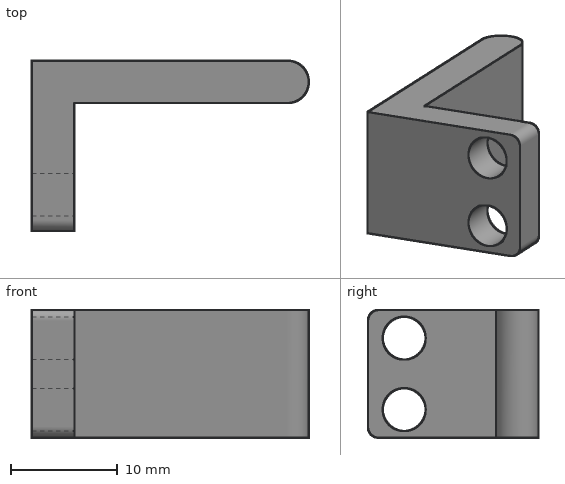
import cadquery as cq

arm_length = 26.0
plate_length = 16.0
height = 12.0
thickness = 4.0
corner_radius = 1.0
hole_diameter = 4.0
hole_spacing = 6.7
hole_edge_distance = 3.4

tip_radius = thickness / 2
tip_start = arm_length - tip_radius
arm_inner_y = plate_length - thickness


def bracket_body():
    """L-shaped profile with a full-round arm tip, extruded along Z."""
    return (
        cq.Workplane("XY")
        .moveTo(0, 0)
        .lineTo(thickness, 0)
        .lineTo(thickness, arm_inner_y)
        .lineTo(tip_start, arm_inner_y)
        .threePointArc((arm_length, arm_inner_y + tip_radius), (tip_start, plate_length))
        .lineTo(0, plate_length)
        .close()
        .extrude(height)
    )


def round_plate_corners(body):
    """Round the two edges along X at the free end of the mounting plate."""
    return body.faces("<Y").edges("|X").fillet(corner_radius)


def mounting_holes():
    """Two cylinders through the plate thickness, placed evenly about mid-height."""
    mid_height = height / 2
    centres = [(hole_edge_distance, mid_height + side * hole_spacing / 2) for side in (-1, 1)]
    return cq.Workplane("YZ").pushPoints(centres).circle(hole_diameter / 2).extrude(thickness)


result = round_plate_corners(bracket_body()).cut(mounting_holes())